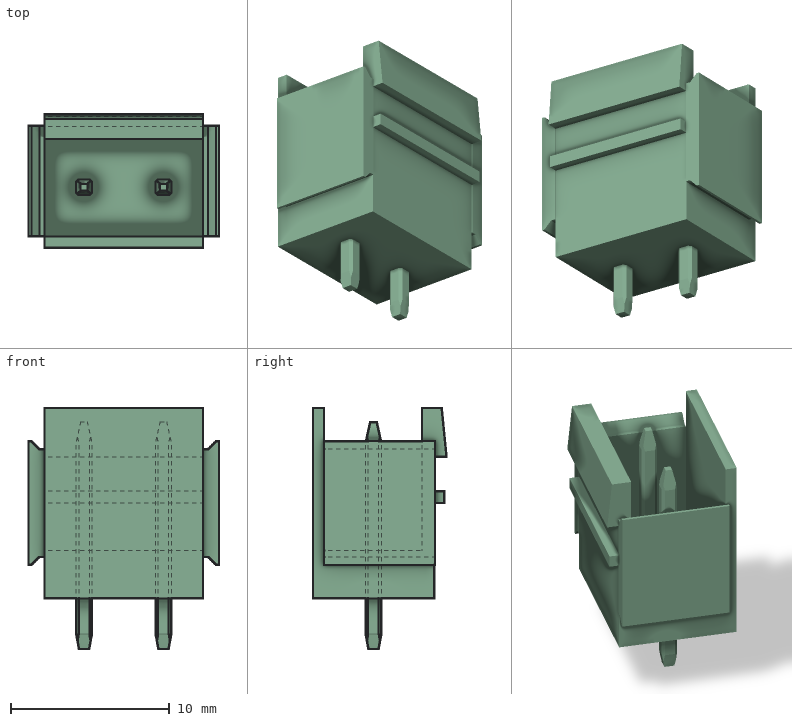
import cadquery as cq

housing_width = 10.0
housing_height = 12.0
base_depth = 7.65
floor_height = 3.0
front_wall_thickness = 0.72
back_wall_inner_y = 6.87

latch_bottom_z = 8.9
latch_lip_y = 8.43
latch_top_y = 8.12

rib_bottom_z = 6.0
rib_height = 0.75
rib_back_y = 8.28

overall_width = 12.0
rail_back_y = 7.7
rail_height = 7.8
rail_neck_length = 0.32
rail_neck_height = 6.8
rail_edge_thickness = 0.18

pin_pitch = 5.0
pin_y = 3.82
pin_width = 1.0
pin_bevel = 0.17
pin_bottom_z = -3.2
pin_top_z = 11.1
pin_top_tip_width = 0.42
pin_top_taper = 1.3
pin_bottom_tip_width = 0.65
pin_bottom_taper = 0.95


def box_between(x_range, y_range, z_range):
    """Axis-aligned box spanning the given (low, high) ranges."""
    lows, highs = zip(x_range, y_range, z_range)
    size = [high - low for low, high in zip(lows, highs)]
    return cq.Workplane("XY").box(*size, centered=False).translate(lows)


def make_shell():
    """Base, front wall, back wall, latch and rib as one profile across the full width."""
    outline = [
        (0, 0),
        (base_depth, 0),
        (base_depth, rib_bottom_z),
        (rib_back_y, rib_bottom_z),
        (rib_back_y, rib_bottom_z + rib_height),
        (base_depth, rib_bottom_z + rib_height),
        (base_depth, latch_bottom_z),
        (latch_lip_y, latch_bottom_z),
        (latch_top_y, housing_height),
        (back_wall_inner_y, housing_height),
        (back_wall_inner_y, floor_height),
        (front_wall_thickness, floor_height),
        (front_wall_thickness, housing_height),
        (0, housing_height),
    ]
    return cq.Workplane("YZ").polyline(outline).close().extrude(housing_width / 2, both=True)


def make_rail():
    """Dovetail rail on the +X side."""
    root_x = housing_width / 2
    neck_x = root_x + rail_neck_length
    outer_x = overall_width / 2
    edge_x = outer_x - rail_edge_thickness
    half_neck = rail_neck_height / 2
    half_rail = rail_height / 2
    outline = [
        (root_x, -half_neck),
        (neck_x, -half_neck),
        (edge_x, -half_rail),
        (outer_x, -half_rail),
        (outer_x, half_rail),
        (edge_x, half_rail),
        (neck_x, half_neck),
        (root_x, half_neck),
    ]
    profile = cq.Workplane("XZ").polyline(outline).close()
    rail = profile.extrude(front_wall_thickness - rail_back_y)
    return rail.translate((0, front_wall_thickness, housing_height / 2))


def square_taper(base_z, end_z, tip_width):
    """Square frustum from the full pin width at base_z to the tip at end_z."""
    base = cq.Workplane("XY", origin=(0, 0, base_z)).rect(pin_width, pin_width)
    return base.workplane(offset=end_z - base_z).rect(tip_width, tip_width).loft()


def make_pin(x):
    """Pin at the given X: a bevelled bar cut to a square envelope with tapered ends."""
    shank_bottom_z = pin_bottom_z + pin_bottom_taper
    shank_top_z = pin_top_z - pin_top_taper
    half = pin_width / 2
    envelope = box_between((-half, half), (-half, half), (shank_bottom_z, shank_top_z))
    envelope = envelope.union(square_taper(shank_top_z, pin_top_z, pin_top_tip_width))
    envelope = envelope.union(square_taper(shank_bottom_z, pin_bottom_z, pin_bottom_tip_width))
    bar = box_between((-half, half), (-half, half), (pin_bottom_z, pin_top_z))
    bar = bar.edges("|Z").chamfer(pin_bevel)
    return bar.intersect(envelope).translate((x, pin_y, 0))


pins = [make_pin(x) for x in (-pin_pitch / 2, pin_pitch / 2)]

rail = make_rail()
housing = make_shell().union(rail).union(rail.mirror("YZ"))
for pin in pins:
    housing = housing.cut(pin)

result = cq.Compound.makeCompound([housing.val(), *[pin.val() for pin in pins]])